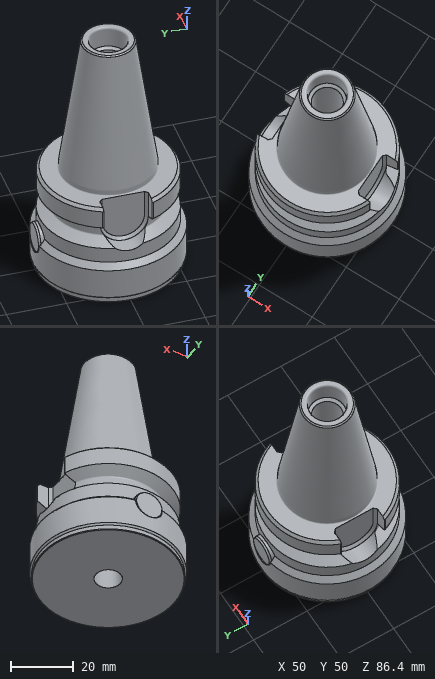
import cadquery as cq
import math


gauge_radius = 31.75 / 2
taper_ratio = 7 / 24
shank_length = 48.4
shank_tip_radius = gauge_radius - shank_length * taper_ratio / 2
tip_chamfer_radial = 0.5
tip_chamfer_axial = 0.35
tip_side_radius = shank_tip_radius + tip_chamfer_axial * taper_ratio / 2

flange_radius = 23.0
flange_top = -2.0
flange_chamfer = 1.0
root_fillet = 0.4
groove_radius = 19.0
groove_mid = -13.5
groove_floor_width = 3.75
groove_fillet = 0.4
groove_flank = math.radians(29)
groove_flank_height = (flange_radius - groove_radius) * math.tan(groove_flank)
groove_top = groove_mid + groove_floor_width / 2
groove_bottom = groove_mid - groove_floor_width / 2

nose_radius = 25.0
nose_shoulder = -25.0
nose_step = -35.6
nose_bottom = -38.0
rim_radius = 24.4
rim_top = nose_step - (nose_radius - rim_radius)
rim_chamfer = 0.25

mouth_fillet = 0.85
counterbore_radius = 6.25
counterbore_depth = 7.3
thread_radius = 5.1
thread_depth = 34.0
through_radius = 4.5
cone_slope = math.radians(30)
cone_depth = (counterbore_radius - thread_radius) * math.tan(cone_slope)

slot_width = 16.1
slot_floor_x = 16.3
slot_centre_z = -11.0
slot_corner = 1.0
slot_land_x = 21.4
slot_land_width = 18.0

chip_radius = 5.0
chip_centre_z = -25.0
chip_face_y = 24.7
chip_thickness = 4.5
chip_chamfer_radial = 0.25
chip_chamfer_axial = 0.75


def revolve_about_z(profile):
    """Turn a closed (radius, z) profile drawn in the XZ plane about the Z axis."""
    return profile.close().revolve(360, (0, 0, 0), (0, 1, 0))


def fillet_ring(body, radius, z, fillet_radius):
    """Fillet the circular edge of the given radius at height z."""
    reach = 0.1
    box = cq.selectors.BoxSelector(
        (-radius - reach, -radius - reach, z - reach),
        (radius + reach, radius + reach, z + reach),
        boundingbox=True,
    )
    return body.edges(box).fillet(fillet_radius)


def turned_blank():
    outline = [
        (0, shank_length),
        (shank_tip_radius - tip_chamfer_radial, shank_length),
        (tip_side_radius, shank_length - tip_chamfer_axial),
        (gauge_radius, 0),
        (gauge_radius, flange_top),
        (flange_radius - flange_chamfer, flange_top),
        (flange_radius, flange_top - flange_chamfer),
        (flange_radius, groove_top + groove_flank_height),
        (groove_radius, groove_top),
        (groove_radius, groove_bottom),
        (flange_radius, groove_bottom - groove_flank_height),
        (flange_radius, nose_shoulder + nose_radius - flange_radius),
        (nose_radius, nose_shoulder),
        (nose_radius, nose_step),
        (rim_radius, rim_top),
        (rim_radius, nose_bottom + rim_chamfer),
        (rim_radius - rim_chamfer, nose_bottom),
        (0, nose_bottom),
    ]
    blank = revolve_about_z(cq.Workplane("XZ").polyline(outline))
    blank = fillet_ring(blank, gauge_radius, flange_top, root_fillet)
    for corner_z in (groove_top, groove_bottom):
        blank = fillet_ring(blank, groove_radius, corner_z, groove_fillet)
    return blank


def bore():
    counterbore_floor = shank_length - counterbore_depth
    thread_end = shank_length - thread_depth
    fillet_drop = mouth_fillet * (1 - math.sqrt(0.5))
    profile = (
        cq.Workplane("XZ")
        .moveTo(0, shank_length)
        .lineTo(counterbore_radius + mouth_fillet, shank_length)
        .threePointArc(
            (counterbore_radius + fillet_drop, shank_length - fillet_drop),
            (counterbore_radius, shank_length - mouth_fillet),
        )
        .lineTo(counterbore_radius, counterbore_floor)
        .lineTo(thread_radius, counterbore_floor - cone_depth)
        .lineTo(thread_radius, thread_end)
        .lineTo(through_radius, thread_end)
        .lineTo(through_radius, nose_bottom)
        .lineTo(0, nose_bottom)
    )
    return revolve_about_z(profile)


def drive_slot():
    """Cutter for the slot on the +X side: round at the bottom, open at the top and outwards."""
    half_width = slot_width / 2
    slot = (
        cq.Workplane("YZ", origin=(slot_floor_x, 0, 0))
        .moveTo(-half_width, 0)
        .lineTo(-half_width, slot_centre_z)
        .threePointArc((0, slot_centre_z - half_width), (half_width, slot_centre_z))
        .lineTo(half_width, 0)
        .close()
        .extrude(nose_radius - slot_floor_x)
        .faces("<X")
        .chamfer(slot_corner)
    )
    lands = (
        cq.Workplane("XY", origin=(slot_land_x, 0, groove_mid))
        .box(nose_radius - slot_land_x, slot_land_width, -groove_mid, centered=(False, True, False))
    )
    return slot.union(lands)


def chip_cylinder(face_y):
    """Cylinder along Y from the back of the chip out to face_y."""
    back_y = chip_face_y - chip_thickness
    return (
        cq.Workplane("XZ", origin=(0, back_y, chip_centre_z))
        .circle(chip_radius)
        .extrude(back_y - face_y)
    )


def chip_disc():
    disc = chip_cylinder(chip_face_y)
    return disc.faces(">Y").chamfer(chip_chamfer_axial, chip_chamfer_radial)


holder = turned_blank().cut(bore()).cut(chip_cylinder(nose_radius))
for angle in (0, 180):
    holder = holder.cut(drive_slot().rotate((0, 0, 0), (0, 0, 1), angle))

data_chip = chip_disc()

result = cq.Compound.makeCompound([holder.solids().val(), data_chip.solids().val()])